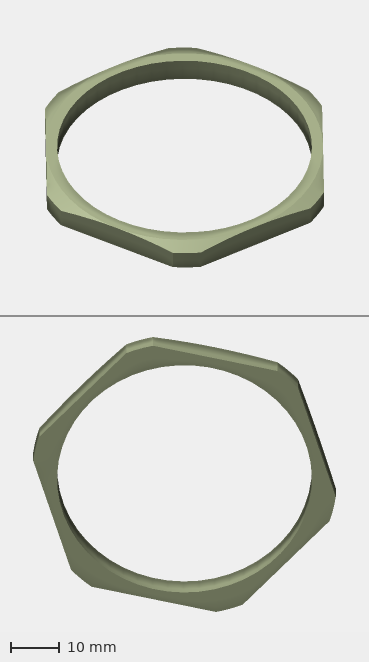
import cadquery as cq
import math

corner_diameter = 62.8
across_flats = 57.0
bore_diameter = 52.45
thickness = 5.0
chamfer_angle = 20.0

corner_radius = corner_diameter / 2
top_radius = across_flats / 2
chamfer_drop = (corner_radius - top_radius) * math.tan(math.radians(chamfer_angle))


def hexagonal_blank():
    """Hexagonal plate with two corners on the X axis."""
    across_corners = across_flats / math.cos(math.radians(30))
    return cq.Workplane("XY").polygon(6, across_corners).extrude(thickness)


def turned_envelope():
    """Revolved body that rounds the corners and chamfers their top edges."""
    half_profile = (
        cq.Workplane("XZ")
        .moveTo(0, 0)
        .lineTo(corner_radius, 0)
        .lineTo(corner_radius, thickness - chamfer_drop)
        .lineTo(top_radius, thickness)
        .lineTo(0, thickness)
        .close()
    )
    return half_profile.revolve(360, (0, 0, 0), (0, 1, 0))


def bore():
    """Cylinder removed through the full thickness."""
    return cq.Workplane("XY").circle(bore_diameter / 2).extrude(thickness)


result = hexagonal_blank().intersect(turned_envelope()).cut(bore())